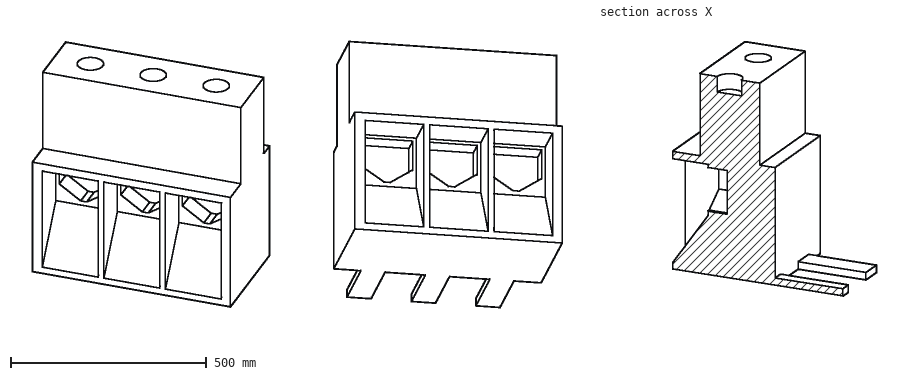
import cadquery as cq

body_width = 540.0
body_depth = 290.0
body_height = 320.0
total_height = 542.5

tower_front = 77.0
tower_depth = 170.5

pole_pitch = 167.5
pole_positions = [-pole_pitch, 0, pole_pitch]

pin_width = 63.0
pin_length = 192.0
pin_thickness = 20.5

pocket_width = 152.0
pocket_shift = 1.0
pocket_depth = 100.0
pocket_bottom = 18.5
pocket_top = 299.0
ramp_top = 161.0

recess_width = 133.0
recess_tip_width = 16.5
recess_top = 290.0
recess_shoulder = 211.5
recess_bottom = 173.0
recess_depth = 54.0

screw_diameter = 67.0
screw_depth = 42.5
screw_pitch = 171.0
screw_y = 161.0
offset_screw_y = 164.0
screw_centers = [(-screw_pitch, screw_y), (0, screw_y), (screw_pitch, offset_screw_y)]


def make_housing():
    body = cq.Workplane("XY").box(body_width, body_depth, body_height, centered=(True, False, False))
    tower = (
        cq.Workplane("XY")
        .box(body_width, tower_depth, total_height, centered=(True, False, False))
        .translate((0, tower_front, 0))
    )
    return body.union(tower)


def make_pin(x):
    embedded_length = pin_thickness
    return (
        cq.Workplane("XY")
        .box(pin_width, pin_length + embedded_length, pin_thickness, centered=(True, False, False))
        .translate((x, body_depth - embedded_length, 0))
    )


def make_pocket(x):
    profile = [(0, pocket_bottom), (pocket_depth, ramp_top), (pocket_depth, pocket_top), (0, pocket_top)]
    return (
        cq.Workplane("YZ")
        .workplane(offset=x - pocket_width / 2)
        .polyline(profile)
        .close()
        .extrude(pocket_width)
    )


def make_recess(x):
    half_width = recess_width / 2
    half_tip = recess_tip_width / 2
    outline = [
        (x - half_width, recess_top),
        (x + half_width, recess_top),
        (x + half_width, recess_shoulder),
        (x + half_tip, recess_bottom),
        (x - half_tip, recess_bottom),
        (x - half_width, recess_shoulder),
    ]
    return (
        cq.Workplane("XZ", origin=(0, pocket_depth, 0))
        .polyline(outline)
        .close()
        .extrude(-recess_depth)
    )


def make_screw_holes():
    return (
        cq.Workplane("XY", origin=(0, 0, total_height))
        .pushPoints(screw_centers)
        .circle(screw_diameter / 2)
        .extrude(-screw_depth)
    )


result = make_housing()
for pole_x in pole_positions:
    result = result.union(make_pin(pole_x))
    result = result.cut(make_pocket(pole_x + pocket_shift))
    result = result.cut(make_recess(pole_x + pocket_shift))
result = result.cut(make_screw_holes())